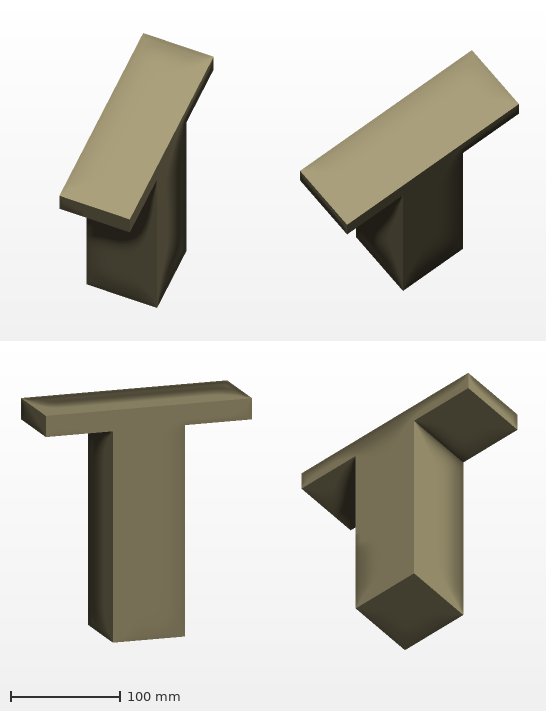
import cadquery as cq

total_height = 220.0
post_side = 70.0
plate_length = 200.0
plate_thickness = 20.0
post_height = total_height - plate_thickness

post = cq.Workplane("XY").rect(post_side, post_side).extrude(post_height)

plate = (
    cq.Workplane("XY", origin=(0, 0, post_height))
    .rect(post_side, plate_length)
    .extrude(plate_thickness)
)

result = post.union(plate).clean()